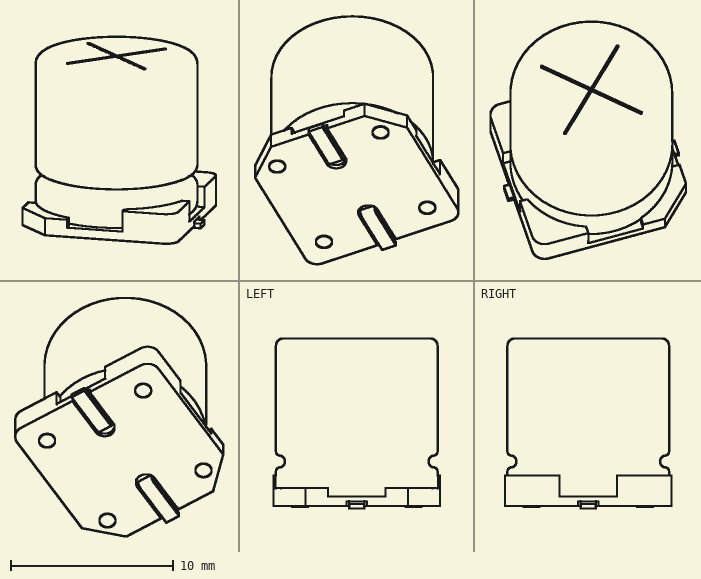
import cadquery as cq

base_size = 10.3
base_bottom = 0.15
corner_top = 1.25
tall_corner_top = 2.05
notch_floor = 0.75
notch_width = 3.54
cut_corner = 1.98
round_corner = 0.8

pad_diameter = 1.0
pad_offset = 3.5
pad_height = 0.05

terminal_span = 11.0
terminal_width = 0.94
terminal_thickness = 0.3
terminal_inner_end = 2.25
inner_bend_radius = 0.05
outer_bend_radius = terminal_thickness + inner_bend_radius
slot_width = 1.25
slot_top = 0.45
leg_center = terminal_inner_end + terminal_thickness / 2

can_diameter = 10.0
can_top = 10.5
can_edge_radius = 0.5
groove_bottom = 2.25
groove_diameter = 8.9
groove_rim_height = 0.6
groove_flat = 0.1

score_length = 7.0
score_width = 0.1
score_depth = 0.05

CUT_MARGIN = 0.11


def block(size_x, size_y, bottom, top):
    """Box centred on the Z axis between two heights."""
    return cq.Workplane("XY").workplane(offset=bottom).rect(size_x, size_y).extrude(top - bottom)


def make_plate():
    """Square plate: low cut corners at -X, tall round corners at +X, a notch in each side."""
    half = base_size / 2
    tall_length = half - notch_width / 2
    tall_center = (half + notch_width / 2) / 2
    plate = block(base_size, base_size, base_bottom, corner_top)
    tall_side = block(tall_length, base_size, base_bottom, tall_corner_top)
    plate = plate.union(tall_side.translate((tall_center, 0, 0)))
    plate = plate.edges("|Z and <X").chamfer(cut_corner)
    plate = plate.edges("|Z and >X").fillet(round_corner)

    notch_top = tall_corner_top + CUT_MARGIN
    notch_length = base_size + CUT_MARGIN
    plate = plate.cut(block(notch_length, notch_width, notch_floor, notch_top))
    plate = plate.cut(block(notch_width, notch_length, notch_floor, notch_top))
    can_seat = cq.Workplane("XY").workplane(offset=notch_floor).circle(can_diameter / 2)
    return plate.cut(can_seat.extrude(notch_top - notch_floor))


def make_pads():
    """Four thin round pads on the underside."""
    pads = cq.Workplane("XY").workplane(offset=base_bottom - pad_height)
    pads = pads.rect(2 * pad_offset, 2 * pad_offset, forConstruction=True).vertices()
    return pads.circle(pad_diameter / 2).extrude(pad_height)


def make_relief_slot():
    """Round-ended slot in the underside, open at -X, that clears the terminal all round."""
    length = base_size / 2 - leg_center
    slot = cq.Workplane("XY").center(-leg_center, 0).circle(slot_width / 2).extrude(slot_top)
    opening = block(length, slot_width, 0, slot_top)
    return slot.union(opening.translate((-leg_center - length / 2, 0, 0)))


def make_terminal():
    """L-shaped strip: a flat foot at -X that bends up into a leg reaching the can bottom."""
    leg_outer_end = terminal_inner_end + terminal_thickness
    terminal = (
        cq.Workplane("XZ", origin=(0, terminal_width / 2, 0))
        .moveTo(-terminal_span / 2, 0)
        .lineTo(-terminal_inner_end, 0)
        .lineTo(-terminal_inner_end, notch_floor)
        .lineTo(-leg_outer_end, notch_floor)
        .lineTo(-leg_outer_end, terminal_thickness)
        .lineTo(-terminal_span / 2, terminal_thickness)
        .close()
        .extrude(terminal_width)
    )
    terminal = terminal.edges("|Y and >X and <Z").fillet(outer_bend_radius)
    inner_corner = cq.NearestToPointSelector((-leg_outer_end, 0, terminal_thickness))
    return terminal.edges("|Y").edges(inner_corner).fillet(inner_bend_radius)


def on_both_sides(body):
    """The given -X shape together with its copy turned to +X."""
    return body.union(body.rotate((0, 0, 0), (0, 0, 1), 180))


def make_can():
    """Revolved can: rounded ends, and a groove whose lips are S-curves of two equal arcs."""
    radius = can_diameter / 2
    groove_radius = groove_diameter / 2
    lip_radius = (radius + groove_radius) / 2
    flat_bottom = groove_bottom + groove_rim_height
    flat_top = flat_bottom + groove_flat
    groove_top = flat_top + groove_rim_height
    profile = (
        cq.Workplane("XZ")
        .moveTo(0, notch_floor)
        .lineTo(radius, notch_floor)
        .lineTo(radius, groove_bottom)
        .tangentArcPoint((lip_radius, groove_bottom + groove_rim_height / 2), relative=False)
        .tangentArcPoint((groove_radius, flat_bottom), relative=False)
        .lineTo(groove_radius, flat_top)
        .tangentArcPoint((lip_radius, flat_top + groove_rim_height / 2), relative=False)
        .tangentArcPoint((radius, groove_top), relative=False)
        .lineTo(radius, can_top)
        .lineTo(0, can_top)
        .close()
    )
    can = profile.revolve(360, (0, 0, 0), (0, 1, 0))
    can = can.faces("<Z or >Z").edges().fillet(can_edge_radius)
    for angle in (45, -45):
        score = block(score_length, score_width, can_top - score_depth, can_top + CUT_MARGIN)
        can = can.cut(score.rotate((0, 0, 0), (0, 0, 1), angle))
    return can


def make_base(terminals):
    """Plate with pads, relief slots and close-fitting holes for the terminal legs."""
    base = make_plate().union(make_pads())
    return base.cut(on_both_sides(make_relief_slot())).cut(terminals)


terminals = on_both_sides(make_terminal())
base = make_base(terminals)
capacitor = make_can().union(terminals)
result = cq.Compound.makeCompound([base.val(), capacitor.val()])